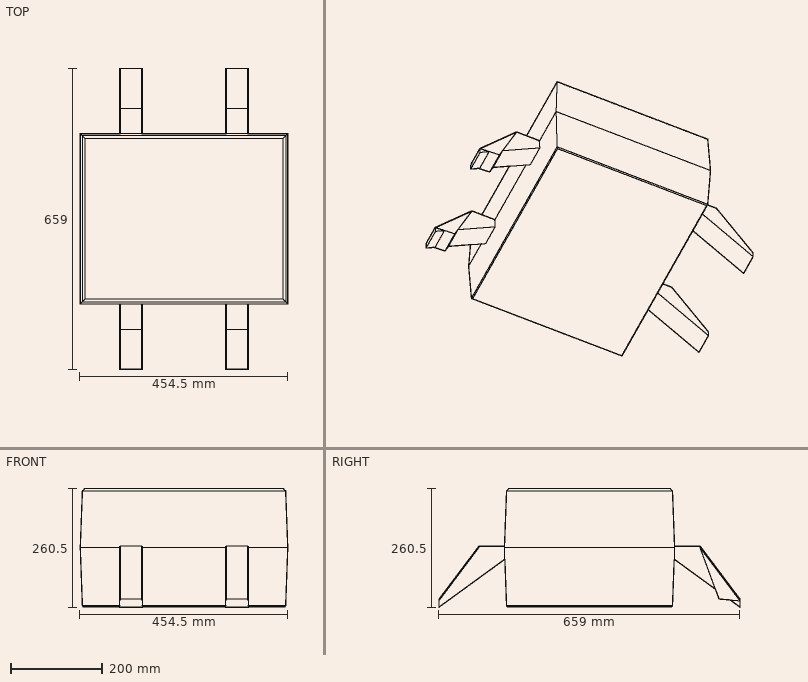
import cadquery as cq

HOUSING_LENGTH = 454.5
HOUSING_WIDTH = 373.0
HALF_HEIGHT = 130.0
WALL_INSET = 4.5
TOP_BEVEL_HEIGHT = 6.0
TOP_BEVEL_INSET = 6.0
BOTTOM_BEVEL_HEIGHT = 3.0
BOTTOM_BEVEL_INSET = 2.0

LEAD_SPACING = 232.0
LEAD_WIDTH = 49.5
LEAD_EDGE = 2.0
LEAD_SPAN = 659.0
LEAD_TOP = 4.0
LEAD_BEND_Y = 242.0
LEAD_TIP_TOP = -112.5
LEAD_TIP_BOTTOM = -130.5
LEAD_ROOT_BOTTOM = -26.5

HEEL_Y = 283.0
HEEL_DROP = 4.0
HEEL_RAISE = 0.5


def frustum(inset_start, z_start, inset_end, z_end):
    """Rectangular block whose walls lean from one inset to another."""
    return (
        cq.Workplane("XY", origin=(0, 0, z_start))
        .rect(HOUSING_LENGTH - 2 * inset_start, HOUSING_WIDTH - 2 * inset_start)
        .workplane(offset=z_end - z_start)
        .rect(HOUSING_LENGTH - 2 * inset_end, HOUSING_WIDTH - 2 * inset_end)
        .loft(ruled=True)
    )


def housing_half(direction, bevel_height, bevel_inset):
    """Drafted half with a bevelled outer rim; direction is +1 for up and -1 for down."""
    rim_z = direction * (HALF_HEIGHT - bevel_height)
    wall = frustum(0, 0, WALL_INSET, rim_z)
    bevel = frustum(WALL_INSET, rim_z, WALL_INSET + bevel_inset, direction * HALF_HEIGHT)
    return wall.union(bevel)


def plate(profile, width):
    """Plate centred on X = 0 with the given (Y, Z) profile."""
    return cq.Workplane("YZ").polyline(profile).close().extrude(width / 2, both=True)


def lead_on_plus_y(has_heel):
    """One lead centred on X = 0, with its root ending against the +Y wall."""
    root_y = HOUSING_WIDTH / 2
    tip_y = LEAD_SPAN / 2
    underside_slope = (LEAD_TIP_BOTTOM - LEAD_ROOT_BOTTOM) / (tip_y - root_y)
    inner_y = root_y - WALL_INSET
    inner_bottom = LEAD_ROOT_BOTTOM - WALL_INSET * underside_slope
    bend = (LEAD_BEND_Y, LEAD_TOP)
    tip_top = (tip_y, LEAD_TIP_TOP)
    slope_centre = (0, (LEAD_BEND_Y + tip_y) / 2, (LEAD_TOP + LEAD_TIP_TOP) / 2)
    lead = plate(
        [(inner_y, LEAD_TOP), bend, tip_top, (tip_y, LEAD_TIP_BOTTOM), (inner_y, inner_bottom)],
        LEAD_WIDTH,
    )
    shoulder_edges = lead.faces(">Z").edges("|Y")
    slope_edges = lead.faces(cq.selectors.NearestToPointSelector(slope_centre)).edges("not |X")
    lead = lead.newObject(shoulder_edges.vals() + slope_edges.vals()).chamfer(LEAD_EDGE)
    if has_heel:
        heel_profile = [
            (LEAD_BEND_Y, LEAD_TOP - HEEL_DROP),
            (HEEL_Y, LEAD_TIP_TOP),
            (tip_y, LEAD_TIP_TOP - HEEL_DROP),
        ]
        heel = plate(heel_profile, LEAD_WIDTH + 2 * HEEL_RAISE)
        lead = lead.union(heel)
    return lead.cut(upper_half).cut(lower_half)


upper_half = housing_half(1, TOP_BEVEL_HEIGHT, TOP_BEVEL_INSET)
lower_half = housing_half(-1, BOTTOM_BEVEL_HEIGHT, BOTTOM_BEVEL_INSET)

rear_lead = lead_on_plus_y(has_heel=True)
front_lead = lead_on_plus_y(has_heel=False).mirror("XZ")

leads = []
for x in (-LEAD_SPACING / 2, LEAD_SPACING / 2):
    for lead in (rear_lead, front_lead):
        leads.append(lead.translate((x, 0, 0)).val())

result = cq.Compound.makeCompound([upper_half.val(), lower_half.val(), *leads])